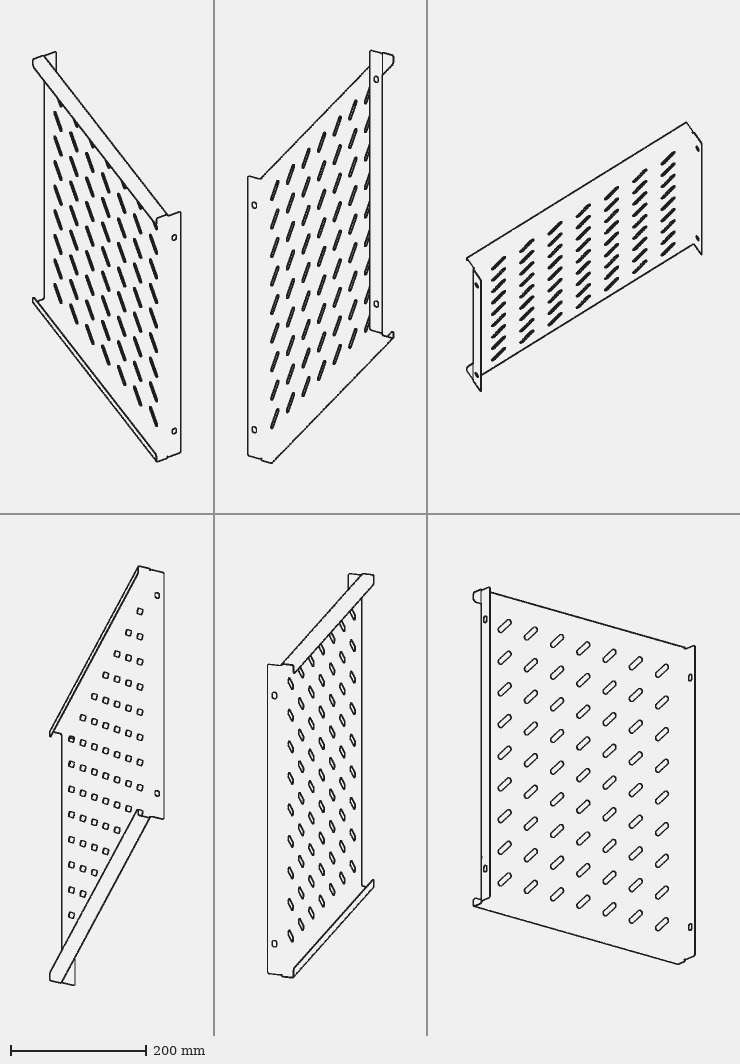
import cadquery as cq

width = 392.0
depth = 41.0
height = 497.0

sheet = 1.25
bend_radius = 3.25
bend_inner = bend_radius - sheet

panel_back = 20.0
panel_front = panel_back - sheet
channel_width = 388.5
lip_height = 15.0
lip_chamfer = 3.5

flange_height = height - 2 * bend_radius
flange_chamfer = 2.0
flange_hole_width = 7.0
flange_hole_height = 10.5
flange_hole_y = 30.0
flange_hole_spacing = 393.5

slot_columns = 7
slot_rows = 9
slot_field_height = 400.0
slot_pitch = slot_field_height / (slot_rows - 1)
slot_width = 8.0
slot_length = 31.5
slot_angle = -45


def rounded_bar(bar_depth, bar_height, corner_radius):
    """Rounded bar along X, as long as the channel and centred on the depth of the channel."""
    return (
        cq.Workplane("YZ", origin=(0, panel_back / 2, 0))
        .rect(bar_depth, bar_height)
        .extrude(channel_width / 2, both=True)
        .edges("|X")
        .fillet(corner_radius)
    )


def make_channel():
    """Panel with its top and bottom edges folded forward into lips."""
    outer = rounded_bar(panel_back, height, bend_radius)
    inner = rounded_bar(panel_back - 2 * sheet, height - 2 * sheet, bend_inner)
    gap = cq.Workplane("XY").box(channel_width, 2 * sheet, height - 2 * lip_height)
    return outer.cut(inner).cut(gap)


def side_bend_clearance():
    """Removes the panel's straight side edges where the side flange bends begin."""
    clearance = cq.Workplane("XY").box(bend_radius, 2 * sheet, flange_height)
    right = clearance.translate(((width - bend_radius) / 2, panel_back, 0))
    return right.union(right.mirror("YZ"))


def lip_corner_cuts():
    """Wedges that bevel the free corners of both lips."""
    x = channel_width / 2
    z = height / 2 - lip_height
    wedge = (
        cq.Workplane("XZ", origin=(0, sheet, 0))
        .polyline([(x - lip_chamfer, z), (x, z), (x, z + lip_chamfer)])
        .close()
        .extrude(sheet)
    )
    pair = wedge.union(wedge.mirror("YZ"))
    return pair.union(pair.mirror("XY"))


def make_side_flange():
    """Right-hand flange, joined to the panel by its bend."""
    x = width / 2
    flange = (
        cq.Workplane("XY", origin=(0, 0, -flange_height / 2))
        .moveTo(x - 2 * bend_radius, panel_front)
        .lineTo(x - bend_radius, panel_front)
        .radiusArc((x, panel_front + bend_radius), -bend_radius)
        .lineTo(x, depth)
        .lineTo(x - sheet, depth)
        .lineTo(x - sheet, panel_front + bend_radius)
        .radiusArc((x - bend_radius, panel_back), bend_inner)
        .lineTo(x - 2 * bend_radius, panel_back)
        .close()
        .extrude(flange_height)
        .edges("|X and >Y")
        .chamfer(flange_chamfer)
    )
    holes = (
        cq.Workplane("YZ", origin=(x - 2 * sheet, flange_hole_y, 0))
        .rarray(5, flange_hole_spacing, 1, 2)
        .slot2D(flange_hole_height, flange_hole_width, 90)
        .extrude(3 * sheet)
    )
    return flange.cut(holes)


def make_slots():
    """Grid of diagonal slots through the panel."""
    return (
        cq.Workplane("XZ", origin=(0, panel_back + sheet, 0))
        .rarray(slot_pitch, slot_pitch, slot_columns, slot_rows)
        .slot2D(slot_length, slot_width, slot_angle)
        .extrude(3 * sheet)
    )


side_flange = make_side_flange()
result = (
    make_channel()
    .cut(lip_corner_cuts())
    .cut(side_bend_clearance())
    .cut(make_slots())
    .union(side_flange)
    .union(side_flange.mirror("YZ"))
)